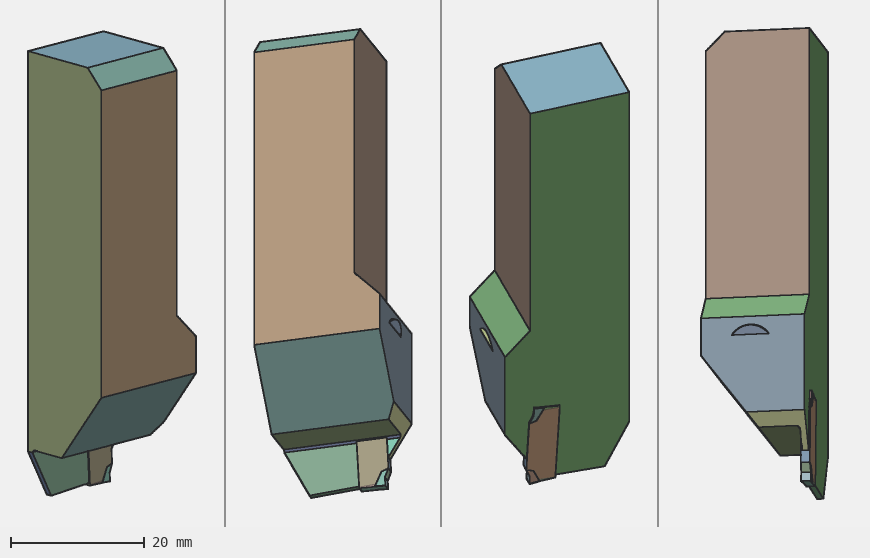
import cadquery as cq
import math

LENGTH = 69.85
SHANK = 15.8
TOP_CHAMFER = 2.9
HEAD_DEPTH = 19.8
HEAD_SHOULDER_Z = 24.8
HEAD_LOW_Z = 10.05
BACK_SLOPE_Z = 7.55
HEEL = (3.9, 0.1)
TOE = (13.8, 0.6)

BODY_BOTTOM_Z = 7.95
BODY_BOTTOM_X = 7.25
SIDE_SLOPE_Z = 19.1
BLADE_THICKNESS = 1.0
BLADE_CHAMFER = 0.35

INSERT_CENTRE_Y = 13.9
INSERT_TILT = 3.1
INSERT_X_MIN = -0.2
INSERT_THICKNESS = 1.4
INSERT_BACK_U = -2.45
INSERT_FRONT_U = 2.3
END_BEVEL_W = 0.2
END_BEVEL_X = 0.1
FLANK_W = 6.7
TIP_EDGE = (1.7, 7.05)
RAKE_HOLLOW = (1.7, 5.7)
TIP_FRONT = (INSERT_FRONT_U, 4.3)
TIP_INNER = (1.2, 4.7)
TIP_ROOT = (0.1, 6.85)
TIP_PROUD = 0.1

SCREW_X = 8.25
SCREW_RIM = (20.3, 23.3)
SCREW_TILT = 23.0
SCREW_RADIUS = 3.5
SCREW_HEIGHT = 2.1


def side_profile():
    """Holder outline in the YZ plane."""
    return [
        (0, LENGTH),
        (SHANK, LENGTH),
        (SHANK, HEAD_SHOULDER_Z + HEAD_DEPTH - SHANK),
        (HEAD_DEPTH, HEAD_SHOULDER_Z),
        (HEAD_DEPTH, HEAD_LOW_Z),
        TOE,
        HEEL,
        (0, BACK_SLOPE_Z),
    ]


def front_profile():
    """Holder outline in the XZ plane, thick part and blade together."""
    return [
        (0, 0),
        (0, LENGTH),
        (SHANK - TOP_CHAMFER, LENGTH),
        (SHANK, LENGTH - TOP_CHAMFER),
        (SHANK, SIDE_SLOPE_Z),
        (BODY_BOTTOM_X, BODY_BOTTOM_Z),
        (BLADE_THICKNESS + BLADE_CHAMFER, BODY_BOTTOM_Z),
        (BLADE_THICKNESS, BODY_BOTTOM_Z - BLADE_CHAMFER),
        (BLADE_THICKNESS, 0),
    ]


def make_screw_head():
    """Cylinder whose upper rim alone stands out of the +Y face."""
    tilt = math.radians(SCREW_TILT)
    axis = cq.Vector(0, math.cos(tilt), -math.sin(tilt))
    rim_to_centre = cq.Vector(0, -math.sin(tilt), -math.cos(tilt)) * SCREW_RADIUS
    top_centre = cq.Vector(SCREW_X, *SCREW_RIM) + rim_to_centre
    return cq.Solid.makeCylinder(SCREW_RADIUS, SCREW_HEIGHT, top_centre, axis * -1)


def prism_along_x(points, x_start, x_end):
    return cq.Workplane("YZ", origin=(x_start, 0, 0)).polyline(points).close().extrude(x_end - x_start)


def insert_slab(half_width, end_half_width, shoulder_w, end_w):
    """Slab bounding the insert across X, whose width changes evenly from the shoulder to each end."""
    middle_x = INSERT_X_MIN + INSERT_THICKNESS / 2
    points = [
        (-half_width, shoulder_w),
        (-end_half_width, end_w),
        (end_half_width, end_w),
        (half_width, shoulder_w),
        (half_width, -shoulder_w),
        (end_half_width, -end_w),
        (-end_half_width, -end_w),
        (-half_width, -shoulder_w),
    ]
    slab = cq.Workplane("XZ", origin=(middle_x, INSERT_BACK_U, 0)).polyline(points).close()
    return slab.extrude(INSERT_BACK_U - INSERT_FRONT_U)


def make_insert():
    """Double-ended insert: a flat bar with a wider cutting tip at each end of its front face."""
    half = INSERT_THICKNESS / 2
    x_start = INSERT_X_MIN - TIP_PROUD
    x_end = INSERT_X_MIN + INSERT_THICKNESS + TIP_PROUD
    tip_w = TIP_EDGE[1]

    half_bar = [(INSERT_BACK_U, FLANK_W), TIP_EDGE, RAKE_HOLLOW, TIP_FRONT]
    bar_outline = half_bar + [(u, -w) for u, w in reversed(half_bar)]
    bar = prism_along_x(bar_outline, x_start, x_end)
    bevel_w = FLANK_W - END_BEVEL_W
    insert = bar.intersect(insert_slab(half, half - END_BEVEL_X, bevel_w, tip_w))

    tip_slab = insert_slab(half, half + TIP_PROUD, TIP_FRONT[1], tip_w)
    for end in (1, -1):
        outline = [(u, end * w) for u, w in (TIP_EDGE, RAKE_HOLLOW, TIP_FRONT, TIP_INNER, TIP_ROOT)]
        insert = insert.union(prism_along_x(outline, x_start, x_end).intersect(tip_slab))

    tilt = math.radians(INSERT_TILT)
    centre_z = tip_w * math.cos(tilt) - TIP_EDGE[0] * math.sin(tilt)
    return insert.rotate((0, 0, 0), (1, 0, 0), INSERT_TILT).translate((0, INSERT_CENTRE_Y, centre_z))


def make_holder(insert):
    side = prism_along_x(side_profile(), 0, SHANK)
    front = cq.Workplane("XZ").polyline(front_profile()).close().extrude(-HEAD_DEPTH)
    return side.intersect(front).union(cq.Workplane(make_screw_head())).cut(insert)


insert = make_insert()
holder = make_holder(insert)
result = cq.Compound.makeCompound([*holder.vals(), insert.val()])